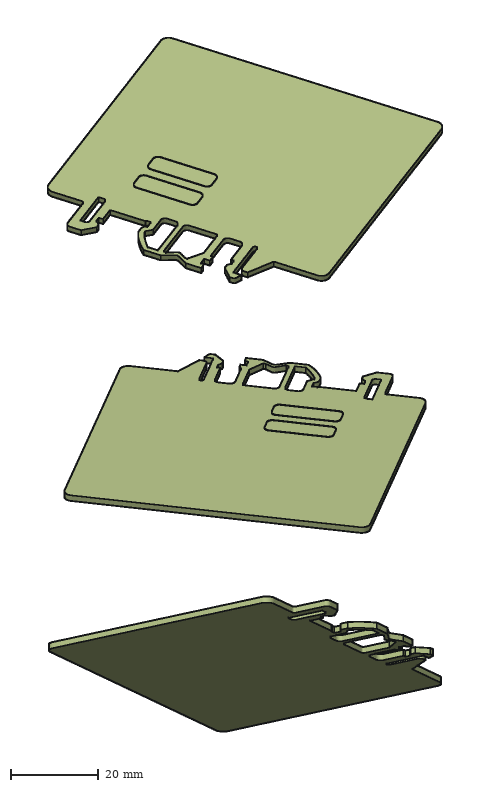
import cadquery as cq

PLATE_WIDTH = 72.0
PLATE_HEIGHT = 62.0
THICKNESS = 1.5
CORNER_RADIUS = 2.0

FOOT_Y = -9.5
SLOT_TOP_Y = 3.0
ROOT_OVERLAP = 0.7

LEFT_FOOT_X0 = 10.1
LEFT_FOOT_X1 = 16.8
LEFT_FOOT_TOE_RADIUS = 1.0
LEFT_NOTCH_X = 15.7
LEFT_NOTCH_TOP_Y = -3.7
LEFT_FOOT_ROOT_RADIUS = 0.6
LEFT_SLOT_X0 = 12.3
LEFT_SLOT_X1 = 14.3
LEFT_SLOT_BOTTOM_Y = -6.4
LEFT_SLOT_RADIUS = 0.8

MIDDLE_FOOT_NECK_X = 27.15
MIDDLE_FOOT_X1 = 44.85
HOOK_X = 45.4
HOOK_NOTCH_X = 44.0
HOOK_NOTCH_TOP_Y = -6.2
HOOK_NOTCH_BOTTOM_Y = -7.9
SOLE_CORNER_RADIUS = 0.6
ARM_RELIEF_X0 = 25.85
ARM_RELIEF_HEIGHT = 0.2
WINDOW_RADIUS = 1.1
ARM_OUTER_X = 26.1
ARM_INNER_X = 27.4
WINDOW_BOTTOM_Y = -8.1
ARM_WINDOW_X0 = 28.8
ARM_WINDOW_X1 = 33.05
CORE_WINDOW_X0 = 34.4
CORE_WINDOW_X1 = 42.9
CORE_WINDOW_RIGHT_BOTTOM_Y = -7.85
CORE_WINDOW_CORNER_RADIUS = 0.5

LEG_X0 = 49.6
LEG_X1 = 52.1
LEG_NOTCH_X = 50.4
LEG_NOTCH_TOP_Y = -3.75
LEG_BARB_Y = -7.6
LEG_TOE_X = 53.4
LEG_TOE_RADIUS = 0.6
LEG_GAP_RADIUS = 1.15
STOP_X0 = 53.2
STOP_X1 = 58.75
STOP_BOTTOM_Y = -6.2
STOP_TOE_RADIUS = 1.0

LABEL_LENGTH = 16.3
LABEL_HEIGHT = 4.9
LABEL_RADIUS = 1.3
LABEL_DEPTH = 0.15
LABEL_CENTER_X = 25.5
LABEL_CENTERS_Y = (12.45, 19.9)


def prism(points):
    """Closed polygon extruded through the whole thickness."""
    return cq.Workplane("XY").polyline(points).close().extrude(THICKNESS)


def box(x0, x1, y0, y1):
    """Rectangular block through the whole thickness."""
    return prism([(x0, y0), (x1, y0), (x1, y1), (x0, y1)])


def round_corner(body, x, y, radius):
    """Round the upright edge that stands nearest to (x, y)."""
    edge = cq.selectors.NearestToPointSelector((x, y, THICKNESS / 2))
    return body.edges("|Z").edges(edge).fillet(radius)


def make_plate():
    plate = box(0, PLATE_WIDTH, 0, PLATE_HEIGHT)
    return plate.edges("|Z").fillet(CORNER_RADIUS)


def make_left_foot():
    foot = prism([
        (LEFT_FOOT_X0, ROOT_OVERLAP),
        (LEFT_FOOT_X0, FOOT_Y),
        (14.05, FOOT_Y),
        (LEFT_FOOT_X1, -6.9),
        (LEFT_FOOT_X1, -5.8),
        (LEFT_NOTCH_X, -4.9),
        (LEFT_NOTCH_X, LEFT_NOTCH_TOP_Y),
        (LEFT_FOOT_X1, LEFT_NOTCH_TOP_Y),
        (LEFT_FOOT_X1, ROOT_OVERLAP),
    ])
    return round_corner(foot, LEFT_FOOT_X0, FOOT_Y, LEFT_FOOT_TOE_RADIUS)


def make_left_slot():
    slot = box(LEFT_SLOT_X0, LEFT_SLOT_X1, LEFT_SLOT_BOTTOM_Y, SLOT_TOP_Y)
    return slot.edges("|Z and >X").fillet(LEFT_SLOT_RADIUS)


def make_middle_foot():
    """Spring arm on the left, notched sole below, square hook on the right."""
    foot = (
        cq.Workplane("XY")
        .moveTo(MIDDLE_FOOT_NECK_X, ROOT_OVERLAP)
        .lineTo(MIDDLE_FOOT_NECK_X, -1.6)
        .threePointArc((26.4, -1.95), (ARM_OUTER_X, -2.8))
        .lineTo(ARM_OUTER_X, -4.25)
        .threePointArc((27.7, -7.05), (30.1, FOOT_Y))
        .lineTo(34.5, FOOT_Y)
        .lineTo(37.3, -8.0)
        .threePointArc((37.8, -7.85), (38.3, -8.0))
        .lineTo(40.9, FOOT_Y)
        .lineTo(MIDDLE_FOOT_X1, FOOT_Y)
        .lineTo(MIDDLE_FOOT_X1, HOOK_NOTCH_BOTTOM_Y)
        .lineTo(HOOK_NOTCH_X, HOOK_NOTCH_BOTTOM_Y)
        .lineTo(HOOK_NOTCH_X, HOOK_NOTCH_TOP_Y)
        .lineTo(HOOK_X, HOOK_NOTCH_TOP_Y)
        .lineTo(HOOK_X, -4.75)
        .lineTo(MIDDLE_FOOT_X1, -4.5)
        .lineTo(MIDDLE_FOOT_X1, ROOT_OVERLAP)
        .close()
        .extrude(THICKNESS)
    )
    return round_corner(foot, MIDDLE_FOOT_X1, HOOK_NOTCH_BOTTOM_Y, SOLE_CORNER_RADIUS)


def make_arm_window():
    window = (
        cq.Workplane("XY")
        .moveTo(ARM_WINDOW_X0, SLOT_TOP_Y)
        .lineTo(ARM_WINDOW_X1, SLOT_TOP_Y)
        .lineTo(ARM_WINDOW_X1, WINDOW_BOTTOM_Y)
        .lineTo(30.45, WINDOW_BOTTOM_Y)
        .threePointArc((28.9, -6.2), (ARM_INNER_X, -3.8))
        .lineTo(ARM_INNER_X, -3.25)
        .lineTo(ARM_WINDOW_X0, -2.0)
        .close()
        .extrude(THICKNESS)
    )
    for x in (ARM_WINDOW_X0, ARM_WINDOW_X1):
        window = round_corner(window, x, SLOT_TOP_Y, WINDOW_RADIUS)
    return window


def make_core_window():
    window = (
        cq.Workplane("XY")
        .moveTo(CORE_WINDOW_X0, SLOT_TOP_Y)
        .lineTo(CORE_WINDOW_X1, SLOT_TOP_Y)
        .lineTo(CORE_WINDOW_X1, -4.3)
        .lineTo(40.5, CORE_WINDOW_RIGHT_BOTTOM_Y)
        .lineTo(39.9, CORE_WINDOW_RIGHT_BOTTOM_Y)
        .lineTo(38.4, -6.9)
        .threePointArc((37.8, -6.7), (37.2, -6.85))
        .lineTo(35.1, WINDOW_BOTTOM_Y)
        .lineTo(CORE_WINDOW_X0, -7.8)
        .close()
        .extrude(THICKNESS)
    )
    window = round_corner(window, CORE_WINDOW_X0, SLOT_TOP_Y, WINDOW_RADIUS)
    return round_corner(window, CORE_WINDOW_X1, SLOT_TOP_Y, CORE_WINDOW_CORNER_RADIUS)


def make_arm_relief():
    """Shallow step in the lower plate edge beside the spring arm."""
    return box(ARM_RELIEF_X0, MIDDLE_FOOT_NECK_X, 0, ARM_RELIEF_HEIGHT)


def make_spring_leg():
    leg = prism([
        (LEG_X0, ROOT_OVERLAP),
        (LEG_X0, LEG_NOTCH_TOP_Y),
        (LEG_NOTCH_X, LEG_NOTCH_TOP_Y),
        (LEG_NOTCH_X, -4.9),
        (LEG_X0, -5.8),
        (LEG_X0, -7.0),
        (LEG_X1, FOOT_Y),
        (LEG_TOE_X, FOOT_Y),
        (54.3, LEG_BARB_Y),
        (LEG_X1, LEG_BARB_Y),
        (LEG_X1, ROOT_OVERLAP),
    ])
    return round_corner(leg, LEG_TOE_X, FOOT_Y, LEG_TOE_RADIUS)


def make_stop():
    stop = prism([
        (STOP_X0, ROOT_OVERLAP),
        (STOP_X0, STOP_BOTTOM_Y),
        (55.1, STOP_BOTTOM_Y),
        (STOP_X1, 0),
        (STOP_X1, ROOT_OVERLAP),
    ])
    return round_corner(stop, STOP_X0, STOP_BOTTOM_Y, STOP_TOE_RADIUS)


def make_leg_gap():
    """Round-topped gap between the middle foot and the spring leg."""
    gap = box(MIDDLE_FOOT_X1, LEG_X0, 0, SLOT_TOP_Y)
    return gap.edges("|Z and >Y").fillet(LEG_GAP_RADIUS)


def make_stop_gap():
    """Narrow slit with a round end between the spring leg and the stop."""
    half_width = (STOP_X0 - LEG_X1) / 2
    return (
        cq.Workplane("XY")
        .moveTo(LEG_X1, 0)
        .lineTo(STOP_X0, 0)
        .lineTo(STOP_X0, SLOT_TOP_Y - half_width)
        .threePointArc((LEG_X1 + half_width, SLOT_TOP_Y), (LEG_X1, SLOT_TOP_Y - half_width))
        .close()
        .extrude(THICKNESS)
    )


def make_label_recess(center_y):
    recess = (
        cq.Workplane("XY")
        .workplane(offset=THICKNESS - LABEL_DEPTH)
        .center(LABEL_CENTER_X, center_y)
        .rect(LABEL_LENGTH, LABEL_HEIGHT)
        .extrude(LABEL_DEPTH)
    )
    return recess.edges("|Z").fillet(LABEL_RADIUS)


result = make_plate()

for foot in (make_left_foot(), make_middle_foot(), make_spring_leg(), make_stop()):
    result = result.union(foot)
result = round_corner(result, LEFT_FOOT_X0, 0, LEFT_FOOT_ROOT_RADIUS)

openings = (
    make_left_slot(),
    make_arm_relief(),
    make_arm_window(),
    make_core_window(),
    make_leg_gap(),
    make_stop_gap(),
)
for opening in openings:
    result = result.cut(opening)

for label_y in LABEL_CENTERS_Y:
    result = result.cut(make_label_recess(label_y))